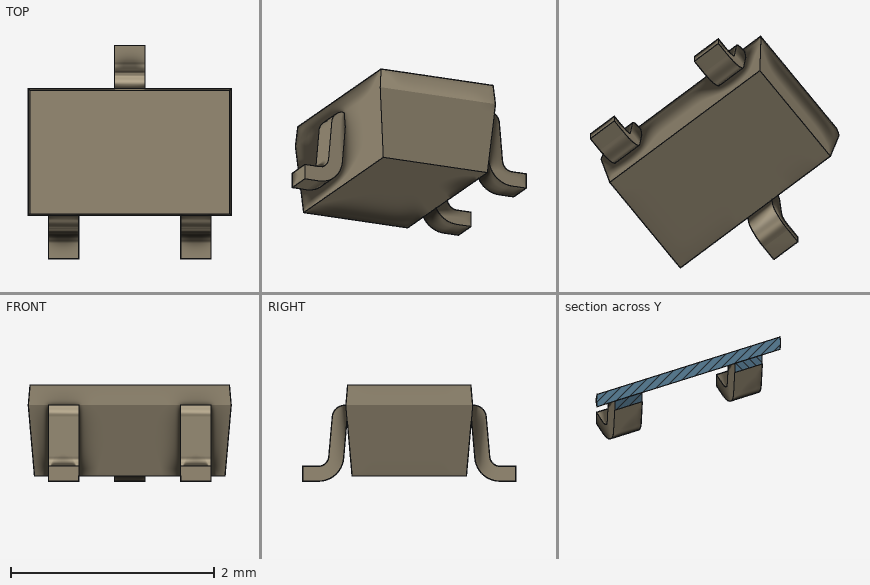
import cadquery as cq
import math

BODY_LENGTH = 2.0
BODY_WIDTH = 1.25
TOP_Z = 0.95
PARTING_Z = 0.75
BODY_BOTTOM_Z = 0.05
DRAFT_ANGLE = 5.0

LEAD_SPAN = 2.1
LEAD_WIDTH = 0.3
LEAD_THICKNESS = 0.15
LEAD_PITCH = 1.3
LEG_ANGLE = 5.0
SHOULDER_RADIUS = 0.125
SHOULDER_FLAT = 0.008
HEEL_INNER_RADIUS = 0.1
HEEL_OUTER_RADIUS = HEEL_INNER_RADIUS + LEAD_THICKNESS


def make_tapered_block(height, normal):
    """Block that narrows from the parting plane along the given normal (+1 up, -1 down)."""
    base = cq.Plane(origin=(0, 0, PARTING_Z), xDir=(1, 0, 0), normal=(0, 0, normal))
    return cq.Workplane(base).rect(BODY_LENGTH, BODY_WIDTH).extrude(height, taper=DRAFT_ANGLE)


def make_housing():
    """Two tapered blocks joined at the parting plane."""
    upper = make_tapered_block(TOP_Z - PARTING_Z, 1)
    lower = make_tapered_block(PARTING_Z - BODY_BOTTOM_Z, -1)
    return upper.union(lower)


def arc_point(center, radius, degrees):
    """Point of a circle in the YZ plane, with the angle measured from +Y toward +Z."""
    angle = math.radians(degrees)
    return (center[0] + radius * math.cos(angle), center[1] + radius * math.sin(angle))


def make_lead(x_center):
    """Lead on the -Y side: foot, heel bend, leaning leg and rounded shoulder."""
    lean = math.radians(LEG_ANGLE)
    draft = math.radians(DRAFT_ANGLE)
    toe_y = -LEAD_SPAN / 2
    wall_y = -BODY_WIDTH / 2

    shoulder_center = (wall_y - SHOULDER_FLAT, PARTING_Z - SHOULDER_RADIUS)
    heel_z = HEEL_OUTER_RADIUS
    rise = shoulder_center[1] - heel_z
    heel_offset = (SHOULDER_RADIUS + HEEL_INNER_RADIUS + rise * math.sin(lean)) / math.cos(lean)
    heel_center = (shoulder_center[0] - heel_offset, heel_z)

    heel_outer_end = arc_point(heel_center, HEEL_OUTER_RADIUS, -LEG_ANGLE)
    gap = wall_y + (PARTING_Z - heel_outer_end[1]) * math.tan(draft) - heel_outer_end[0]
    contact_rise = gap / (math.tan(lean) + math.tan(draft))
    contact = (
        heel_outer_end[0] + contact_rise * math.tan(lean),
        heel_outer_end[1] + contact_rise,
    )

    heel_middle = (-90 - LEG_ANGLE) / 2
    shoulder_end = 180 - LEG_ANGLE
    shoulder_middle = (90 + shoulder_end) / 2
    return (
        cq.Workplane("YZ", origin=(x_center, 0, 0))
        .moveTo(toe_y, 0)
        .lineTo(heel_center[0], 0)
        .threePointArc(arc_point(heel_center, HEEL_OUTER_RADIUS, heel_middle), heel_outer_end)
        .lineTo(*contact)
        .lineTo(wall_y, PARTING_Z)
        .lineTo(shoulder_center[0], PARTING_Z)
        .threePointArc(
            arc_point(shoulder_center, SHOULDER_RADIUS, shoulder_middle),
            arc_point(shoulder_center, SHOULDER_RADIUS, shoulder_end),
        )
        .lineTo(*arc_point(heel_center, HEEL_INNER_RADIUS, -LEG_ANGLE))
        .threePointArc(
            arc_point(heel_center, HEEL_INNER_RADIUS, heel_middle),
            (heel_center[0], LEAD_THICKNESS),
        )
        .lineTo(toe_y, LEAD_THICKNESS)
        .close()
        .extrude(LEAD_WIDTH / 2, both=True)
    )


housing = make_housing()
front_leads = [make_lead(x) for x in (-LEAD_PITCH / 2, LEAD_PITCH / 2)]
rear_lead = make_lead(0).rotate((0, 0, 0), (0, 0, 1), 180)
leads = [lead.val() for lead in front_leads + [rear_lead]]

result = cq.Compound.makeCompound([housing.val(), *leads])